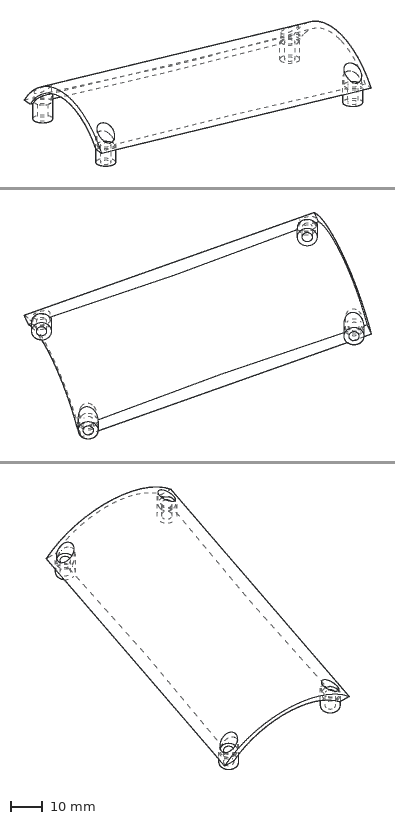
import cadquery as cq

length = 98.15
width = 47.5
rise = 11.8
end_inner_width = 40.2
end_inner_rise = 9.7
middle_inner_width = 38.7
middle_inner_rise = 8.6

post_spacing_x = 38.7
post_spacing_y = 89.9
post_diameter = 6.3
post_drop = 5.7
post_top = 6.9
screw_diameter = 3.2
head_diameter = 5.5
head_seat_height = 0.3


def arch_profile(chord, height, y):
    """Circular segment standing on Z = 0 in the plane at the given Y."""
    return (
        cq.Workplane("XZ", origin=(0, y, 0))
        .moveTo(-chord / 2, 0)
        .threePointArc((0, height), (chord / 2, 0))
        .close()
    )


def tapered_core(end_y):
    """Hollow below one half of the shell, narrowing from its end to mid-length."""
    end_wire = arch_profile(end_inner_width, end_inner_rise, end_y).wire().val()
    middle_wire = arch_profile(middle_inner_width, middle_inner_rise, 0).wire().val()
    return cq.Workplane(cq.Solid.makeLoft([end_wire, middle_wire], True))


def corner_cylinders(diameter, bottom, top):
    """Four upright cylinders on the post axes."""
    return (
        cq.Workplane("XY", origin=(0, 0, bottom))
        .rect(post_spacing_x, post_spacing_y, forConstruction=True)
        .vertices()
        .circle(diameter / 2)
        .extrude(top - bottom)
    )


envelope = arch_profile(width, rise, length / 2).extrude(length)
shell = envelope
for end_y in (-length / 2, length / 2):
    shell = shell.cut(tapered_core(end_y))

lower_posts = corner_cylinders(post_diameter, -post_drop, 0)
upper_posts = corner_cylinders(post_diameter, 0, post_top).intersect(envelope)
result = shell.union(upper_posts).union(lower_posts)

result = result.cut(corner_cylinders(screw_diameter, -post_drop, rise))
result = result.cut(corner_cylinders(head_diameter, head_seat_height, rise))